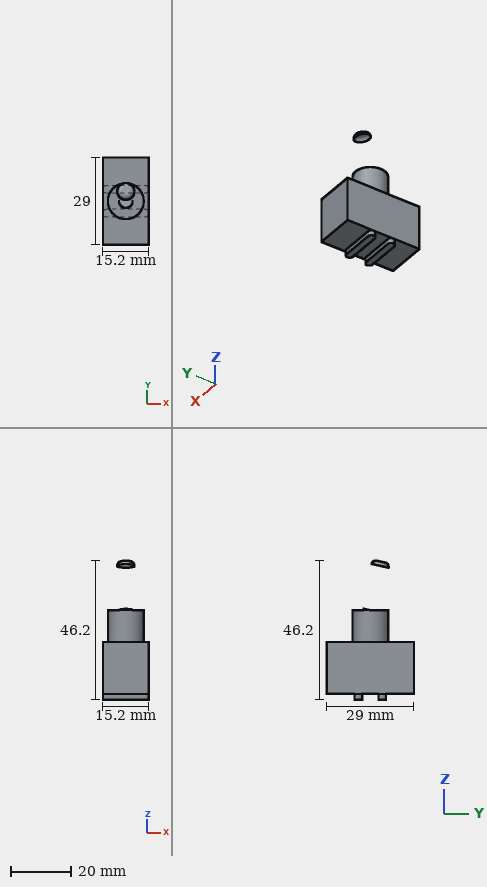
import cadquery as cq
import math

housing_width = 15.25
housing_length = 29.0
housing_height = 17.25

rail_width = 2.6
rail_height = 2.0
rail_spacing = 7.9

bushing_diameter = 11.93
bushing_height = 10.5
bushing_top = housing_height + bushing_height

lever_tilt = 12.5
stub_diameter = 4.5
stub_depth = 2.0

cap_diameter = 5.83
cap_flat_diameter = 2.83
cap_shoulder = (cap_diameter - cap_flat_diameter) / 2
cap_wall = 0.1
cap_distance = 15.02

lever_plane = cq.Plane(origin=(0, 0, bushing_top)).rotated((-lever_tilt, 0, 0))


def make_housing():
    """Block, bushing, lever stub and underside rails as one solid."""
    block = cq.Workplane("XY").box(
        housing_width, housing_length, housing_height, centered=(True, True, False)
    )
    bushing = (
        cq.Workplane("XY")
        .workplane(offset=housing_height)
        .circle(bushing_diameter / 2)
        .extrude(bushing_height)
    )
    stub = cq.Workplane(lever_plane).circle(stub_diameter / 2).extrude(-stub_depth)
    rails = (
        cq.Workplane("XY")
        .rarray(1, rail_spacing, 1, 2)
        .slot2D(housing_width, rail_width)
        .extrude(-rail_height)
    )
    return block.union(bushing).union(stub).union(rails)


def make_cap():
    """Thin hollow cap, open toward the bushing."""
    outer_radius = cap_diameter / 2
    inner_radius = outer_radius - cap_wall
    flat_radius = cap_flat_diameter / 2
    diagonal = math.cos(math.radians(45))
    inner_shoulder = cap_shoulder - cap_wall
    outer_mid = (flat_radius + cap_shoulder * diagonal, cap_shoulder * diagonal)
    inner_mid = (flat_radius + inner_shoulder * diagonal, inner_shoulder * diagonal)
    upright_cap = (
        cq.Workplane("XZ")
        .moveTo(inner_radius, 0)
        .lineTo(outer_radius, 0)
        .threePointArc(outer_mid, (flat_radius, cap_shoulder))
        .lineTo(0, cap_shoulder)
        .lineTo(0, inner_shoulder)
        .lineTo(flat_radius, inner_shoulder)
        .threePointArc(inner_mid, (inner_radius, 0))
        .close()
        .revolve(360, (0, 0, 0), (0, 1, 0))
    )
    return (
        upright_cap.translate((0, 0, cap_distance))
        .rotate((0, 0, 0), (1, 0, 0), -lever_tilt)
        .translate((0, 0, bushing_top))
    )


housing = make_housing()
cap = make_cap()

result = cq.Compound.makeCompound([housing.val(), cap.val()])